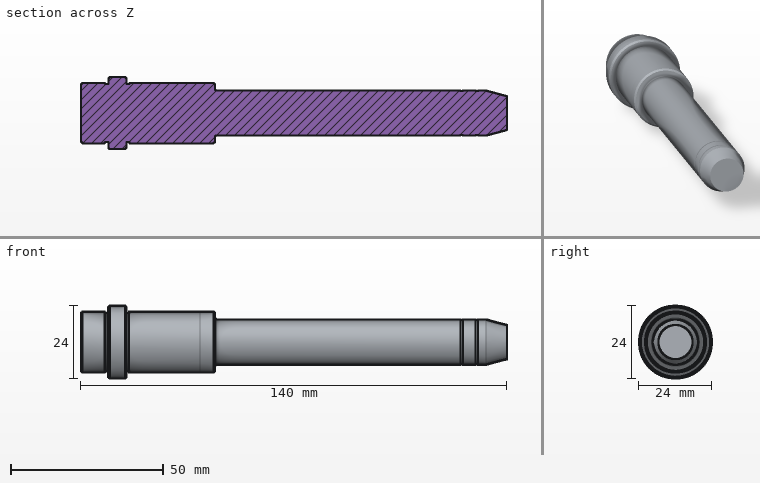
import cadquery as cq
import math

total_length = 140.0

collar_radius = 24.0 / 2
head_radius = 20.0 / 2
shaft_radius = 15.0 / 2

collar_start = 9.0
collar_end = 15.0
seat_end = 39.0
shoulder_end = 44.1
nose_start = 133.0

edge_chamfer = 0.5
neck_depth = 0.4
front_neck_length = 1.3
rear_neck_length = 0.8
root_fillet = 0.4

groove_starts = (124.6, 129.6)
groove_width = 0.8
groove_depth = 0.21

nose_angle = math.radians(15)


def turned_body():
    """Revolve the half outline: head, collar, seat, shoulder, shaft and nose."""
    neck_radius = head_radius - neck_depth
    front_neck_start = collar_start - front_neck_length
    rear_neck_end = collar_end + rear_neck_length
    tip_radius = shaft_radius - (total_length - nose_start) * math.tan(nose_angle)
    fillet_middle = root_fillet * (1 - math.sqrt(0.5))

    outline = (
        cq.Workplane("XY")
        .moveTo(0, 0)
        .lineTo(0, head_radius - edge_chamfer)
        .lineTo(edge_chamfer, head_radius)
        .lineTo(front_neck_start, head_radius)
        .lineTo(front_neck_start + neck_depth, neck_radius)
        .lineTo(collar_start, neck_radius)
        .lineTo(collar_start, collar_radius - edge_chamfer)
        .lineTo(collar_start + edge_chamfer, collar_radius)
        .lineTo(collar_end - edge_chamfer, collar_radius)
        .lineTo(collar_end, collar_radius - edge_chamfer)
        .lineTo(collar_end, neck_radius)
        .lineTo(rear_neck_end, neck_radius)
        .lineTo(rear_neck_end, head_radius)
        .lineTo(seat_end, head_radius)
        .lineTo(shoulder_end - edge_chamfer, head_radius)
        .lineTo(shoulder_end, head_radius - edge_chamfer)
        .lineTo(shoulder_end, shaft_radius + root_fillet)
        .threePointArc(
            (shoulder_end + fillet_middle, shaft_radius + fillet_middle),
            (shoulder_end + root_fillet, shaft_radius),
        )
        .lineTo(nose_start, shaft_radius)
        .lineTo(total_length, tip_radius)
        .lineTo(total_length, 0)
        .close()
    )
    return outline.revolve(360, (0, 0, 0), (1, 0, 0), clean=False)


def groove_cutter(start):
    """Ring that cuts one oil groove around the shaft."""
    return (
        cq.Workplane("YZ", origin=(start, 0, 0))
        .circle(collar_radius)
        .circle(shaft_radius - groove_depth)
        .extrude(groove_width)
    )


result = turned_body()
for groove_start in groove_starts:
    result = result.cut(groove_cutter(groove_start), clean=False)